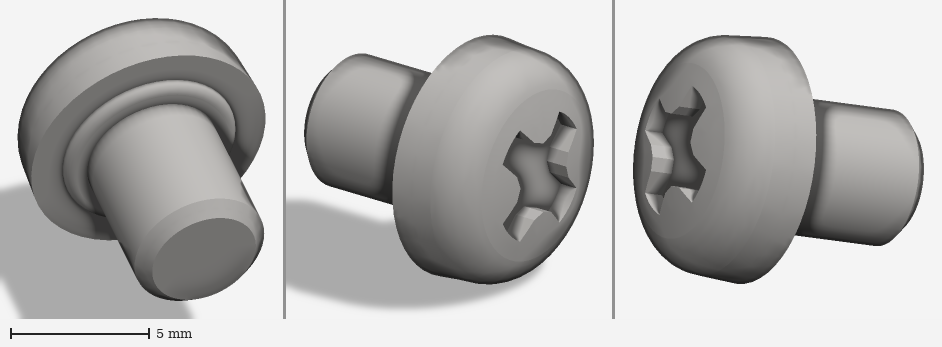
import cadquery as cq
import math


head_radius = 4.5
seat_x = 3.42
rim_start_x = 1.77
rim_start_radius = 4.38
face_edge_x = 0.34
face_edge_radius = 3.21
dome_radius = 12.45

recess_radius = 2.46
recess_floor_x = 0.9
arm_count = 4
arm_angle = 45.0
arm_half_width = 0.72
land_tip_radius = 1.34
shoulder_distance = 1.41
arm_reach = recess_radius + arm_half_width
cutter_clearance = 0.09

overall_length = 9.43
shank_radius = 2.49
shank_chamfer = 0.5
collar_radius = 3.31
collar_thickness = 0.4
collar_rounding = 0.37


def dome_x(radius):
    """X of the spherical face at a distance from the axis; the land tips lie at X = 0."""
    def sag(r):
        return dome_radius - math.sqrt(dome_radius**2 - r**2)
    return sag(radius) - sag(land_tip_radius)


def cross_outline():
    """Points of a cross whose arms run past the recess radius, with pointed lands between them."""
    points = []
    for arm in range(arm_count):
        arm_direction = math.radians(arm_angle + arm * 360 / arm_count)
        land_direction = arm_direction + math.pi / arm_count
        arm_corners = [
            (shoulder_distance, -arm_half_width),
            (arm_reach, -arm_half_width),
            (arm_reach, arm_half_width),
            (shoulder_distance, arm_half_width),
        ]
        for along, across in arm_corners:
            y = along * math.cos(arm_direction) - across * math.sin(arm_direction)
            z = along * math.sin(arm_direction) + across * math.cos(arm_direction)
            points.append((y, z))
        points.append((land_tip_radius * math.cos(land_direction), land_tip_radius * math.sin(land_direction)))
    return points


def make_recess_cutter():
    """Diagonal cross with arm ends rounded about the screw axis."""
    start_x = dome_x(0) - cutter_clearance
    depth = recess_floor_x - start_x
    cross = cq.Workplane("YZ", origin=(start_x, 0, 0)).polyline(cross_outline()).close().extrude(depth)
    disc = cq.Workplane("YZ", origin=(start_x, 0, 0)).circle(recess_radius).extrude(depth)
    return cross.intersect(disc)


def make_head():
    """Domed pan head with a slightly tapered rim and a cross recess."""
    profile = (
        cq.Workplane("XY")
        .moveTo(dome_x(0), 0)
        .lineTo(seat_x, 0)
        .lineTo(seat_x, head_radius)
        .lineTo(rim_start_x, rim_start_radius)
        .tangentArcPoint((face_edge_x, face_edge_radius), relative=False)
        .threePointArc((dome_x(face_edge_radius / 2), face_edge_radius / 2), (dome_x(0), 0))
        .close()
    )
    solid = profile.revolve(360, (0, 0, 0), (1, 0, 0))
    solid = solid.rotate((0, 0, 0), (1, 0, 0), arm_angle)
    return solid.cut(make_recess_cutter())


def make_shank():
    """Plain shank with a chamfered end and a round-edged collar against the head."""
    collar = (
        cq.Workplane("YZ", origin=(seat_x, 0, 0))
        .circle(collar_radius)
        .extrude(collar_thickness)
        .faces(">X")
        .edges()
        .fillet(collar_rounding)
    )
    rod = (
        cq.Workplane("YZ", origin=(seat_x, 0, 0))
        .circle(shank_radius)
        .extrude(overall_length - seat_x)
        .faces(">X")
        .chamfer(shank_chamfer)
    )
    return collar.union(rod)


head = make_head()
shank = make_shank()
result = cq.Compound.makeCompound([head.val(), shank.val()])